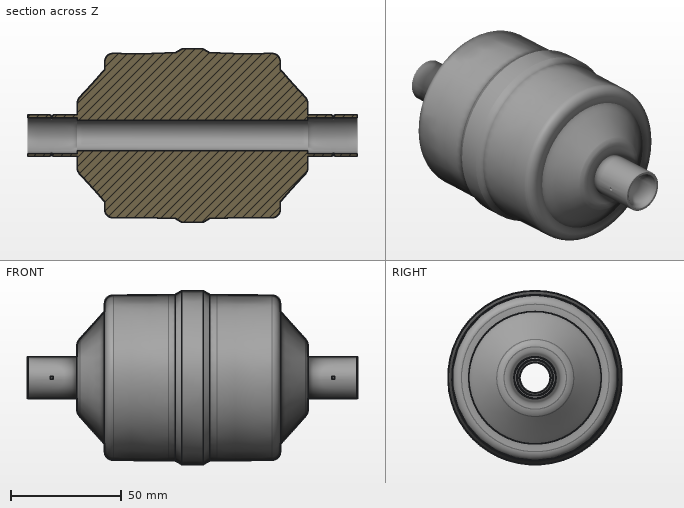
import cadquery as cq
import math

tube_end_x = 75.0
dome_end_x = 52.6
shoulder_x = 40.0
strip_end_x = 11.1
band_foot_x = 7.9
band_top_x = 4.8

band_dia = 79.1
shell_dia = 75.5
shell_end_dia = 75.0
dome_base_dia = 60.2
tube_dia = 19.1
socket_dia = 16.1
bore_dia = 13.7

shoulder_fillet = 4.0
dome_fillet = 5.0
dome_slope_deg = 48.0
tube_chamfer = 0.25
socket_chamfer = 0.25

dimple_x = 64.0
dimple_dia = 1.5
dimple_depth = 1.0
pip_dia = 0.6
pip_height = 1.0
pip_overlap = 0.3


def revolve_about_x(profile):
    return profile.close().revolve(360, (0, 0, 0), (1, 0, 0))


def make_band():
    """Raised central band, straddling the mid-plane."""
    return revolve_about_x(
        cq.Workplane("XZ")
        .moveTo(-band_top_x, 0)
        .lineTo(-band_top_x, band_dia / 2)
        .lineTo(band_top_x, band_dia / 2)
        .lineTo(band_top_x, 0)
    )


def make_half_shell():
    """Canister shell from the edge of the band to the dome end face at +X."""
    dome_length = dome_end_x - shoulder_x
    dome_rise = dome_length * math.tan(math.radians(dome_slope_deg))
    dome_end_radius = dome_base_dia / 2 - dome_rise

    drum = revolve_about_x(
        cq.Workplane("XZ")
        .moveTo(band_top_x, 0)
        .lineTo(band_top_x, band_dia / 2)
        .lineTo(band_foot_x, shell_dia / 2)
        .lineTo(strip_end_x, shell_dia / 2)
        .lineTo(shoulder_x, shell_end_dia / 2)
        .lineTo(shoulder_x, 0)
    )
    drum = drum.faces(">X").edges().fillet(shoulder_fillet)

    dome = revolve_about_x(
        cq.Workplane("XZ")
        .moveTo(shoulder_x, 0)
        .lineTo(shoulder_x, dome_base_dia / 2)
        .lineTo(dome_end_x, dome_end_radius)
        .lineTo(dome_end_x, 0)
    )
    dome = dome.faces(">X").edges().fillet(dome_fillet)
    return drum.union(dome)


def make_tube():
    """Connection tube at +X, still solid, with a lightly broken outer end edge."""
    tube = cq.Workplane("YZ", origin=(dome_end_x, 0, 0)).circle(tube_dia / 2)
    tube = tube.extrude(tube_end_x - dome_end_x)
    return tube.faces(">X").edges().chamfer(tube_chamfer)


def cut_socket(body):
    """Wider bore over the free length of the tube, chamfered at its mouth."""
    socket = cq.Workplane("YZ", origin=(dome_end_x, 0, 0)).circle(socket_dia / 2)
    socket = socket.extrude(tube_end_x - dome_end_x)
    mouth = cq.Solid.makeCone(
        socket_dia / 2,
        socket_dia / 2 + socket_chamfer,
        socket_chamfer,
        cq.Vector(tube_end_x - socket_chamfer, 0, 0),
        cq.Vector(1, 0, 0),
    )
    return body.cut(socket).cut(cq.Workplane(mouth))


def inward_cone(base_radius, height, start_radius, side):
    """Cone based at start_radius on the given Y side, pointing at the X axis."""
    base = cq.Vector(dimple_x, side * start_radius, 0)
    return cq.Workplane(cq.Solid.makeCone(base_radius, 0, height, base, cq.Vector(0, -side, 0)))


def add_dimples(body):
    """Conical pits outside, each with a small pip standing inside the socket."""
    for side in (-1, 1):
        pip_start = socket_dia / 2 + pip_overlap
        pip = inward_cone(pip_dia / 2, pip_height + pip_overlap, pip_start, side)
        pit = inward_cone(dimple_dia / 2, dimple_depth, tube_dia / 2, side)
        body = body.union(pip).cut(pit)
    return body


half = add_dimples(cut_socket(make_half_shell().union(make_tube())))
body = make_band().union(half).union(half.mirror("YZ"))
bore = cq.Workplane("YZ").circle(bore_dia / 2).extrude(tube_end_x, both=True)
result = body.cut(bore)